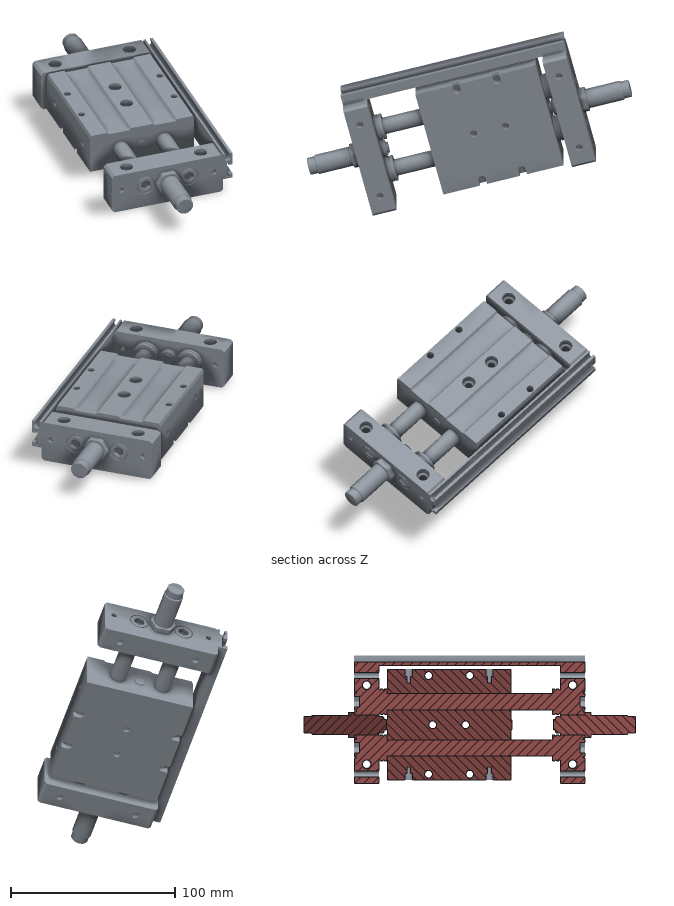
import cadquery as cq
import math


overall_length = 202.0
frame_length = 140.2
plate_thickness = 15.0
plate_width = 72.0
plate_height = 26.0
plate_chamfer = 1.6
axis_height = 15.0

rod_diameter = 10.0
rod_spacing = 28.0
collar_diameter = 16.0
collar_groove_diameter = 14.7
collar_rib_width = 1.6
collar_groove_width = 0.8
collar_length = 2 * (collar_rib_width + collar_groove_width)

screw_recess_diameter = 12.0
screw_head_diameter = 10.5
screw_recess_depth = 1.0
screw_socket_flats = 6.0
screw_socket_depth = 3.0

mount_hole_spacing = 48.0
mount_bore_diameter = 8.0
mount_bore_depth = 4.5
mount_thread_diameter = 5.0
mount_thread_depth = 12.1
mount_hole_diameter = 4.2
end_hole_spacing = 60.0
end_hole_diameter = 3.5

rail_depth = 6.0
rail_height = 17.5
rail_groove_diameter = 4.2
rail_groove_offset = 2.8
rail_groove_drop = 2.8
rail_groove_opening = 3.0
rail_web = 2.5
rail_lip_inner = 3.6
rail_lip_drop = 8.0
rail_channel_drop = 6.0
rail_lower_lip_drop = 14.5
rail_channel_floor_drop = 16.5

carriage_length = 75.5
carriage_width = 67.5
carriage_bottom = 2.5
carriage_top = 28.0
carriage_edge_inset = 0.7
carriage_edge_drop = 2.2
strip_depth = 1.2
strip_slope_run = 1.0
strip_inner = 7.0
strip_outer = 22.6
side_hole_spacing_x = 25.0
side_hole_spacing_y = 60.0
side_hole_diameter = 4.5
side_slot_height = 4.2
centre_hole_spacing = 20.0
centre_bore_diameter = 8.0
centre_bore_depth = 4.5
centre_hole_diameter = 4.5
flank_hole_spacing = 49.0
flank_hole_diameter = 4.2
flank_hole_depth = 4.0
flank_pilot_diameter = 2.0
flank_pilot_depth = 8.0
bumper_diameter = 6.0
bumper_height = 0.6

absorber_diameter = 12.0
absorber_cap_diameter = 10.5
absorber_cap_length = 4.8
absorber_chamfer = 0.5
nut_flats = 14.1
nut_round_diameter = 15.5
nut_thickness = 3.8
nut_chamfer = 0.5
nose_diameter = 10.5
nose_length = 2.2
nose_cone_diameter = 8.9
nose_cone_length = 0.8
plunger_diameter = 6.7

plate_outer_x = frame_length / 2
plate_inner_x = plate_outer_x - plate_thickness
plate_mid_x = plate_outer_x - plate_thickness / 2
half_width = plate_width / 2
rod_y = rod_spacing / 2
carriage_left_x = -plate_inner_x + collar_length
carriage_right_x = carriage_left_x + carriage_length
carriage_mid_x = carriage_left_x + carriage_length / 2
carriage_half_width = carriage_width / 2
plunger_length = collar_length - bumper_height
SIDES = (-1, 1)


def rod_along_x(diameter, x_start, x_end, y=0.0):
    """Round bar parallel to X at the height of the rod axes."""
    return (cq.Workplane("YZ", origin=(x_start, y, axis_height))
            .circle(diameter / 2).extrude(x_end - x_start))


def hole_down(diameter, x, y, z_top, depth):
    """Round cutter going straight down from z_top."""
    return cq.Workplane("XY", origin=(x, y, z_top)).circle(diameter / 2).extrude(-depth)


def end_plate(end):
    plate = (cq.Workplane("XY", origin=(end * plate_mid_x, 0, 0))
             .box(plate_thickness, plate_width, plate_height, centered=(True, True, False))
             .edges("|X").chamfer(plate_chamfer))
    for side in SIDES:
        y = side * mount_hole_spacing / 2
        x = end * plate_mid_x
        plate = plate.cut(hole_down(mount_hole_diameter, x, y, plate_height, plate_height))
        plate = plate.cut(hole_down(mount_thread_diameter, x, y, plate_height, mount_thread_depth))
        plate = plate.cut(hole_down(mount_bore_diameter, x, y, plate_height, mount_bore_depth))
        plate = plate.cut(rod_along_x(end_hole_diameter, end * plate_outer_x, end * plate_inner_x,
                                      side * end_hole_spacing / 2))
    return plate.cut(rod_along_x(absorber_diameter, end * plate_outer_x, end * plate_inner_x))


def collar(end, y):
    """Two ribs separated from each other and from the plate by narrow grooves."""
    ring = rod_along_x(collar_groove_diameter, end * plate_inner_x,
                       end * (plate_inner_x - collar_length), y)
    pitch = collar_rib_width + collar_groove_width
    for index in range(2):
        rib_start = plate_inner_x - collar_groove_width - index * pitch
        ring = ring.union(rod_along_x(collar_diameter, end * rib_start,
                                      end * (rib_start - collar_rib_width), y))
    return ring


def screw_recess(end, y):
    """Ring gap around a screw head plus its hexagon socket, for cutting from the outer face."""
    outer_x = end * plate_outer_x
    floor_x = outer_x - end * screw_recess_depth
    gap = rod_along_x(screw_recess_diameter, outer_x, floor_x, y)
    gap = gap.cut(rod_along_x(screw_head_diameter, outer_x, floor_x, y))
    socket = (cq.Workplane("YZ", origin=(outer_x, y, axis_height))
              .transformed(rotate=(0, 0, 90))
              .polygon(6, screw_socket_flats / math.cos(math.pi / 6))
              .extrude(-end * screw_socket_depth))
    return gap.union(socket)


def switch_rail():
    """Rail with a round groove in its top and a lipped channel in its outer face."""
    outer_y = half_width + rail_depth
    web_y = half_width + rail_web
    lip_y = half_width + rail_lip_inner
    groove_y = half_width + rail_groove_offset
    profile = [
        (half_width, plate_height),
        (outer_y, plate_height),
        (outer_y, plate_height - rail_lip_drop),
        (lip_y, plate_height - rail_lip_drop),
        (lip_y, plate_height - rail_channel_drop),
        (web_y, plate_height - rail_channel_drop),
        (web_y, plate_height - rail_channel_floor_drop),
        (lip_y, plate_height - rail_channel_floor_drop),
        (lip_y, plate_height - rail_lower_lip_drop),
        (outer_y, plate_height - rail_lower_lip_drop),
        (outer_y, plate_height - rail_height),
        (half_width, plate_height - rail_height),
    ]
    start = cq.Workplane("YZ", origin=(-plate_outer_x, 0, 0))
    rail = start.polyline(profile).close().extrude(frame_length)
    groove = (start.center(groove_y, plate_height - rail_groove_drop)
              .circle(rail_groove_diameter / 2).extrude(frame_length))
    opening = (start.center(groove_y, plate_height - rail_groove_drop / 2)
               .rect(rail_groove_opening, rail_groove_drop).extrude(frame_length))
    return rail.cut(groove).cut(opening)


def make_frame():
    frame = switch_rail()
    for end in SIDES:
        frame = frame.union(end_plate(end))
    for side in SIDES:
        y = side * rod_y
        frame = frame.union(rod_along_x(rod_diameter, -plate_inner_x, plate_inner_x, y))
        for end in SIDES:
            frame = frame.union(collar(end, y))
            frame = frame.cut(screw_recess(end, y))
    return frame


def carriage_block():
    """Block with slanted upper edges and two sloped shallow grooves along its top."""
    shoulder_z = carriage_top - carriage_edge_drop
    strip_z = carriage_top - strip_depth
    top_half_width = carriage_half_width - carriage_edge_inset
    right_half = [
        (strip_inner, carriage_top),
        (strip_inner + strip_slope_run, strip_z),
        (strip_outer - strip_slope_run, strip_z),
        (strip_outer, carriage_top),
        (top_half_width, carriage_top),
        (carriage_half_width, shoulder_z),
        (carriage_half_width, carriage_bottom),
    ]
    left_half = [(-y, z) for y, z in reversed(right_half)]
    return (cq.Workplane("YZ", origin=(carriage_left_x, 0, 0))
            .polyline(right_half + left_half).close().extrude(carriage_length))


def side_hole_with_slot(x, side):
    """Vertical through hole whose lower end opens sideways through a slot."""
    y = side * side_hole_spacing_y / 2
    hole = hole_down(side_hole_diameter, x, y, carriage_top, carriage_top - carriage_bottom)
    slot_length = carriage_half_width - side_hole_spacing_y / 2
    slot = (cq.Workplane("XY", origin=(x, y + side * slot_length / 2, carriage_bottom))
            .box(side_hole_diameter, slot_length, side_slot_height, centered=(True, True, False)))
    return hole.union(slot)


def flank_hole(x, side):
    """Stepped blind hole in the side of the carriage."""
    face = cq.Workplane("XZ", origin=(x, side * carriage_half_width, axis_height))
    mouth = face.circle(flank_hole_diameter / 2).extrude(side * flank_hole_depth)
    pilot = face.circle(flank_pilot_diameter / 2).extrude(side * flank_pilot_depth)
    return mouth.union(pilot)


def make_carriage():
    carriage = carriage_block()
    for direction in SIDES:
        side_x = carriage_mid_x + direction * side_hole_spacing_x / 2
        flank_x = carriage_mid_x + direction * flank_hole_spacing / 2
        for side in SIDES:
            carriage = carriage.cut(side_hole_with_slot(side_x, side))
            carriage = carriage.cut(flank_hole(flank_x, side))
        centre_x = carriage_mid_x + direction * centre_hole_spacing / 2
        carriage = carriage.cut(hole_down(centre_hole_diameter, centre_x, 0, carriage_top,
                                          carriage_top - carriage_bottom))
        carriage = carriage.cut(hole_down(centre_bore_diameter, centre_x, 0, carriage_top,
                                          centre_bore_depth))
        carriage = carriage.cut(rod_along_x(rod_diameter, carriage_left_x, carriage_right_x,
                                            direction * rod_y))
    for face_x, end in ((carriage_left_x, -1), (carriage_right_x, 1)):
        carriage = carriage.union(rod_along_x(bumper_diameter, face_x, face_x + end * bumper_height))
    return carriage


def absorber_body():
    """Absorber of the +X end, turned about the rod-height axis."""
    tip_x = overall_length / 2
    cap_x = tip_x - absorber_cap_length
    nose_x = plate_inner_x - nose_length
    cone_x = nose_x - nose_cone_length
    radius = absorber_diameter / 2
    cap_radius = absorber_cap_diameter / 2
    profile = [
        (plate_inner_x - plunger_length, 0),
        (plate_inner_x - plunger_length, plunger_diameter / 2),
        (cone_x, plunger_diameter / 2),
        (cone_x, nose_cone_diameter / 2),
        (nose_x, nose_diameter / 2),
        (plate_inner_x, nose_diameter / 2),
        (plate_inner_x, radius),
        (cap_x - absorber_chamfer, radius),
        (cap_x, radius - absorber_chamfer),
        (cap_x, cap_radius),
        (tip_x - absorber_chamfer, cap_radius),
        (tip_x, cap_radius - absorber_chamfer),
        (tip_x, 0),
    ]
    return (cq.Workplane("XZ", origin=(0, 0, axis_height))
            .polyline(profile).close().revolve(360, (0, 0, 0), (1, 0, 0)))


def lock_nut():
    """Hexagon nut with its outer corners turned round."""
    nut = (cq.Workplane("YZ", origin=(plate_outer_x, 0, axis_height))
           .polygon(6, nut_flats / math.cos(math.pi / 6)).extrude(nut_thickness))
    envelope = rod_along_x(nut_round_diameter, plate_outer_x, plate_outer_x + nut_thickness)
    return nut.intersect(envelope.faces(">X").chamfer(nut_chamfer))


def make_absorber(end):
    absorber = absorber_body().union(lock_nut())
    if end < 0:
        absorber = absorber.mirror("YZ")
    return absorber


frame = make_frame()
carriage = make_carriage()
absorbers = [make_absorber(end) for end in SIDES]

result = cq.Compound.makeCompound([
    frame.val(),
    carriage.val(),
    *[absorber.val() for absorber in absorbers],
])